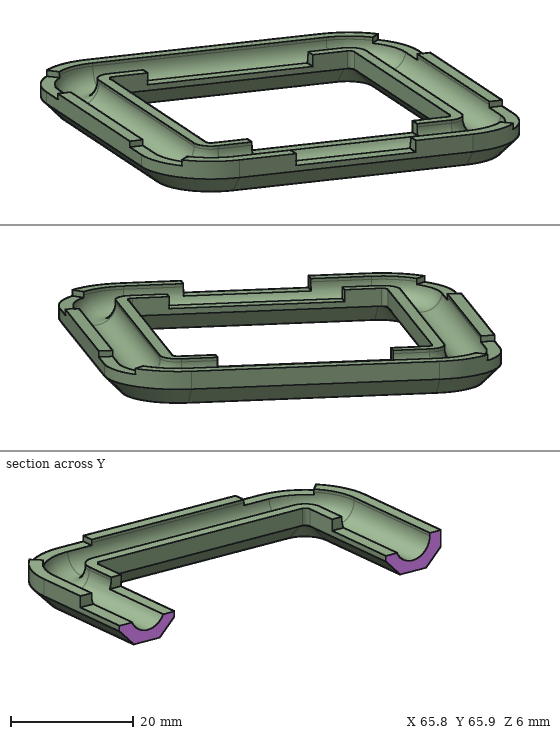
import cadquery as cq

length_x = 65.82
length_y = 65.9
height = 6.0
corner_radius = 12.3
edge_chamfer = 3.0

window_size = 43.2
window_radius = 0.9
window_flare = 3.0
flare_top_radius = 1.5

outer_rim = 2.3
groove_radius = 3.5
groove_axis_z = 5.5
groove_inset = outer_rim + groove_radius

corner_drop = 1.0
tab_width = 31.2
notch_drop = 2.0
outer_notch_width = 21.2
inner_notch_width = 29.2

groove_half_x = length_x / 2 - groove_inset
groove_half_y = length_y / 2 - groove_inset


def rounded_block(size_x, size_y, radius, z_bottom, block_height):
    """Upright block with rounded corners, centred on the Z axis."""
    block = cq.Workplane("XY").box(size_x, size_y, block_height, centered=(True, True, False))
    return block.edges("|Z").fillet(radius).translate((0, 0, z_bottom))


def make_frame():
    """Plain frame: bevelled rounded plate with a window that flares at the bottom."""
    plate = rounded_block(length_x, length_y, corner_radius, 0, height)
    plate = plate.faces("<Z").chamfer(edge_chamfer)
    window_depth = height - window_flare
    window = rounded_block(window_size, window_size, window_radius, window_flare, window_depth)
    flare_size = window_size + 2 * window_flare
    flare_radius = flare_top_radius + window_flare
    flare = (
        rounded_block(flare_size, flare_size, flare_radius, 0, height)
        .faces(">Z")
        .chamfer(window_flare)
        .translate((0, 0, window_flare - height))
    )
    return plate.cut(window).cut(flare)


def groove_band(inset):
    """Outer outline moved inward by inset, standing from the groove axis to the top."""
    size_x = length_x - 2 * inset
    size_y = length_y - 2 * inset
    return rounded_block(size_x, size_y, corner_radius - inset, groove_axis_z, height - groove_axis_z)


def make_groove():
    """Groove cutter: a round bar swept along the centreline, with straight walls above it."""
    path = (
        cq.Workplane("XY", origin=(0, 0, groove_axis_z))
        .rect(2 * groove_half_x, 2 * groove_half_y)
        .extrude(groove_radius)
        .edges("|Z")
        .fillet(corner_radius - groove_inset)
        .faces("<Z")
        .wires()
    )
    bar = (
        cq.Workplane("XZ", origin=(0, -groove_half_y, groove_axis_z))
        .transformed(rotate=(0, 90, 0))
        .circle(groove_radius)
        .sweep(path)
    )
    inner_inset = outer_rim + 2 * groove_radius
    walls = groove_band(outer_rim).cut(groove_band(inner_inset))
    return bar.union(walls)


def corner_step(side_x, side_y):
    """Cutter lowering the outer rim from a tab's end to the corner's diagonal."""
    reach = length_y / 2
    outline = [
        (side_x * tab_width / 2, side_y * groove_half_y),
        (side_x * groove_half_y, side_y * groove_half_y),
        (side_x * reach, side_y * reach),
        (side_x * tab_width / 2, side_y * reach),
    ]
    return (
        cq.Workplane("XY", origin=(0, 0, height - corner_drop))
        .polyline(outline)
        .close()
        .extrude(corner_drop)
    )


def rim_notch(x_start, x_end, width):
    """Cutter for a notch from the top, between two X positions and centred on Y = 0."""
    return (
        cq.Workplane("XY", origin=((x_start + x_end) / 2, 0, height - notch_drop))
        .box(abs(x_end - x_start), width, notch_drop, centered=(True, True, False))
    )


result = make_frame().cut(make_groove())

for side_x in (-1, 1):
    for side_y in (-1, 1):
        result = result.cut(corner_step(side_x, side_y))

result = result.cut(rim_notch(groove_half_x, length_x / 2, outer_notch_width))

for side_x in (-1, 1):
    inner_notch = rim_notch(side_x * window_size / 2, side_x * groove_half_x, inner_notch_width)
    result = result.cut(inner_notch)